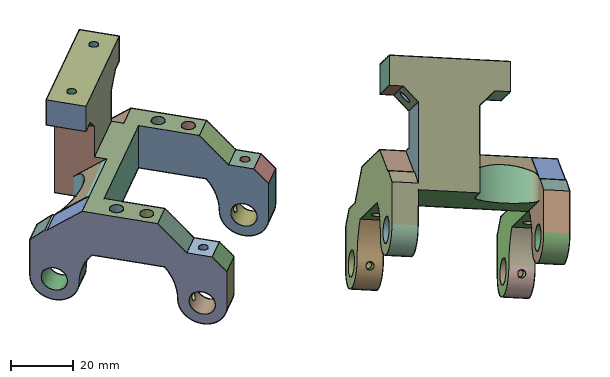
import cadquery as cq
import math

length = 65.85
lug_radius = 8.2
bore_diameter = 8.75
arm_thickness = 8.7
arms_width = 58.8
deck_z = 36.9
ledge_z = 27.1
shoulder_z = 22.25
underside_z = 20.1
front_slope_angle = 39.8
front_top_x = 17.5
front_ledge_x = 5.15
rear_top_x = 42.7
rear_ledge_x = 52.5
rear_ledge_end_x = 60.9
arch_start_x = 20.8

web_depth = 22.45
column_depth = 13.35
column_y = 29.75
height = 64.05
web_bevel_x = 16.45
web_bevel_z = 36.2

head_y = 19.6
head_width = 40.0
head_height = 10.0
gusset = 5.0

recess_depth = 12.3
recess_radius = 15.8
recess_corner_radius = 3.95

deck_hole_diameter = 4.5
deck_hole_xs = (27.8, 37.85)
screw_diameter = 3.1
ledge_screw_x = 56.75
head_hole_spacing = 26.7
lug_screw_tilt = 16.0
lug_screw_diameter = 2.65

front_lug_x = lug_radius
rear_lug_x = length - lug_radius
rear_arm_y = arms_width - arm_thickness
arm_centers_y = (arm_thickness / 2, arms_width - arm_thickness / 2)
column_width = rear_arm_y - column_y
front_slope = math.tan(math.radians(front_slope_angle))
front_slope_foot_x = front_top_x - (deck_z - ledge_z) / front_slope


def extrude_along_y(profile, start_y, width):
    """Extrude an XZ outline toward +Y from start_y."""
    return profile.extrude(-width).translate((0, start_y, 0))


def arm(start_y):
    front_lug_inner_x = 2 * lug_radius
    rear_lug_inner_x = length - front_lug_inner_x
    arch_end_x = length - arch_start_x
    outline = (
        cq.Workplane("XZ")
        .moveTo(0, lug_radius)
        .lineTo(0, shoulder_z)
        .lineTo(front_ledge_x, ledge_z)
        .lineTo(front_slope_foot_x, ledge_z)
        .lineTo(front_top_x, deck_z)
        .lineTo(rear_top_x, deck_z)
        .lineTo(rear_ledge_x, ledge_z)
        .lineTo(rear_ledge_end_x, ledge_z)
        .lineTo(length, shoulder_z)
        .lineTo(length, lug_radius)
        .threePointArc((rear_lug_x, 0), (rear_lug_inner_x, lug_radius))
    )
    rise = underside_z - lug_radius
    run = arch_start_x - front_lug_inner_x
    flank_radius = (run**2 + rise**2) / (2 * run)
    half_sweep = math.asin(rise / flank_radius) / 2
    mid_run = flank_radius * (1 - math.cos(half_sweep))
    mid_z = lug_radius + flank_radius * math.sin(half_sweep)
    outline = (
        outline
        .threePointArc((rear_lug_inner_x - mid_run, mid_z), (arch_end_x, underside_z))
        .lineTo(arch_start_x, underside_z)
        .threePointArc((front_lug_inner_x + mid_run, mid_z), (front_lug_inner_x, lug_radius))
        .threePointArc((front_lug_x, 0), (0, lug_radius))
        .close()
    )
    return extrude_along_y(outline, start_y, arm_thickness)


def web():
    front_foot_z = web_bevel_z - web_bevel_x * front_slope
    outline = (
        cq.Workplane("XZ")
        .moveTo(0, underside_z)
        .lineTo(0, front_foot_z)
        .lineTo(web_bevel_x, web_bevel_z)
        .lineTo(front_top_x, deck_z)
        .lineTo(web_depth, deck_z)
        .lineTo(web_depth, underside_z)
        .close()
    )
    return extrude_along_y(outline, arm_thickness, column_y - arm_thickness)


def recess():
    """Shallow arc blended into the arm and column faces by tangent corner arcs."""
    center_y = (arm_thickness + column_y) / 2
    center_x = recess_depth - recess_radius
    corner_center_distance = recess_radius - recess_corner_radius
    corner_dy = column_y - center_y - recess_corner_radius
    corner_dx = math.sqrt(corner_center_distance**2 - corner_dy**2)
    corner_x = center_x + corner_dx
    blend = recess_radius / corner_center_distance
    blend_x = center_x + blend * corner_dx
    blend_dy = blend * corner_dy
    return (
        cq.Workplane("XY", origin=(0, 0, underside_z))
        .moveTo(0, arm_thickness)
        .lineTo(corner_x, arm_thickness)
        .tangentArcPoint((blend_x, center_y - blend_dy), relative=False)
        .threePointArc((recess_depth, center_y), (blend_x, center_y + blend_dy))
        .tangentArcPoint((corner_x, column_y), relative=False)
        .lineTo(0, column_y)
        .close()
        .extrude(deck_z - underside_z)
    )


def column_and_head():
    head_z = height - head_height
    base = cq.Workplane("XY").box(web_depth, column_width, deck_z - underside_z, centered=False)
    base = base.translate((0, column_y, underside_z))
    outline = (
        cq.Workplane("YZ")
        .moveTo(column_y, underside_z)
        .lineTo(column_y, head_z - gusset)
        .lineTo(column_y - gusset, head_z)
        .lineTo(head_y, head_z)
        .lineTo(head_y, height)
        .lineTo(head_y + head_width, height)
        .lineTo(head_y + head_width, head_z)
        .lineTo(rear_arm_y + gusset, head_z)
        .lineTo(rear_arm_y, head_z - gusset)
        .lineTo(rear_arm_y, underside_z)
        .close()
    )
    return base.union(outline.extrude(column_depth))


def hole(start, direction, diameter, depth):
    return cq.Workplane(
        cq.Solid.makeCylinder(diameter / 2, depth, cq.Vector(*start), cq.Vector(*direction))
    )


def drill_arms(body):
    for lug_x in (front_lug_x, rear_lug_x):
        body = body.cut(hole((lug_x, 0, lug_radius), (0, 1, 0), bore_diameter, arms_width))
    tilt = math.radians(lug_screw_tilt)
    lug_screw_depth = 1.5 * lug_radius
    for y in arm_centers_y:
        for x in deck_hole_xs:
            body = body.cut(hole((x, y, deck_z), (0, 0, -1), deck_hole_diameter, deck_z))
        ledge_depth = ledge_z - lug_radius
        body = body.cut(hole((ledge_screw_x, y, ledge_z), (0, 0, -1), screw_diameter, ledge_depth))
        for lug_x, side in ((front_lug_x, 1), (rear_lug_x, -1)):
            direction = (side * math.cos(tilt), 0, -math.sin(tilt))
            body = body.cut(hole((lug_x, y, lug_radius), direction, lug_screw_diameter, lug_screw_depth))
    return body


def drill_head(body):
    head_center_y = head_y + head_width / 2
    depth = head_height + gusset
    for side in (-1, 1):
        start = (column_depth / 2, head_center_y + side * head_hole_spacing / 2, height)
        body = body.cut(hole(start, (0, 0, -1), screw_diameter, depth))
    return body


frame = web().cut(recess()).union(column_and_head())
for arm_y in (0, rear_arm_y):
    frame = frame.union(arm(arm_y))
result = drill_head(drill_arms(frame))